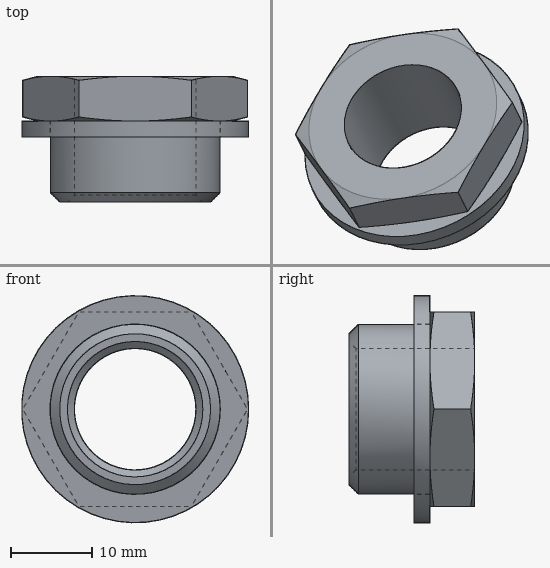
import cadquery as cq
import math

head_height = 5.52
washer_thickness = 2.0
shank_below_washer = 8.0
shank_length = washer_thickness + shank_below_washer

across_flats = 24.0
across_corners = across_flats / math.cos(math.radians(30))
head_chamfer_angle = 15
corner_drop = (across_corners - across_flats) / 2 * math.tan(math.radians(head_chamfer_angle))

shank_diameter = 20.95
shank_tip_chamfer = 1.18
bore_diameter = 14.95
bore_mouth_chamfer = 0.87

washer_outer_diameter = 28
washer_hole_diameter = 21


def revolve_about_y(points):
    """Revolve a closed outline of (radius, y) points about the Y axis."""
    return cq.Workplane("XY").polyline(points).close().revolve(360, (0, 0), (0, 1))


def cylinder_along_y(diameter, y_start, y_end):
    """Cylinder on the Y axis between two Y positions."""
    radius = diameter / 2
    return revolve_about_y([(0, y_start), (radius, y_start), (radius, y_end), (0, y_end)])


def make_head():
    """Hexagon with flats facing up and down, corners coned off at both ends."""
    hexagon = cq.Workplane("XZ").polygon(6, across_corners).extrude(-head_height)
    flat_radius = across_flats / 2
    corner_radius = across_corners / 2
    cone_envelope = revolve_about_y([
        (0, 0),
        (flat_radius, 0),
        (corner_radius, corner_drop),
        (corner_radius, head_height - corner_drop),
        (flat_radius, head_height),
        (0, head_height),
    ])
    return hexagon.intersect(cone_envelope)


def make_shank():
    """Round shank with a chamfered tip."""
    shank = cylinder_along_y(shank_diameter, -shank_length, 0)
    return shank.faces("<Y").chamfer(shank_tip_chamfer)


def make_screw():
    """Head and shank in one piece, bored through, with a chamfer at the bore mouth."""
    bore = cylinder_along_y(bore_diameter, -shank_length, head_height)
    bored = make_head().union(make_shank()).cut(bore)
    bore_radius = bore_diameter / 2
    mouth = revolve_about_y([
        (0, -shank_length),
        (bore_radius + bore_mouth_chamfer, -shank_length),
        (bore_radius, -shank_length + bore_mouth_chamfer),
        (0, -shank_length + bore_mouth_chamfer),
    ])
    return bored.cut(mouth)


def make_washer():
    """Flat ring around the shank, seated against the head."""
    disc = cylinder_along_y(washer_outer_diameter, -washer_thickness, 0)
    hole = cylinder_along_y(washer_hole_diameter, -washer_thickness, 0)
    return disc.cut(hole)


screw = make_screw()
washer = make_washer()

result = cq.Compound.makeCompound([screw.val(), washer.val()])